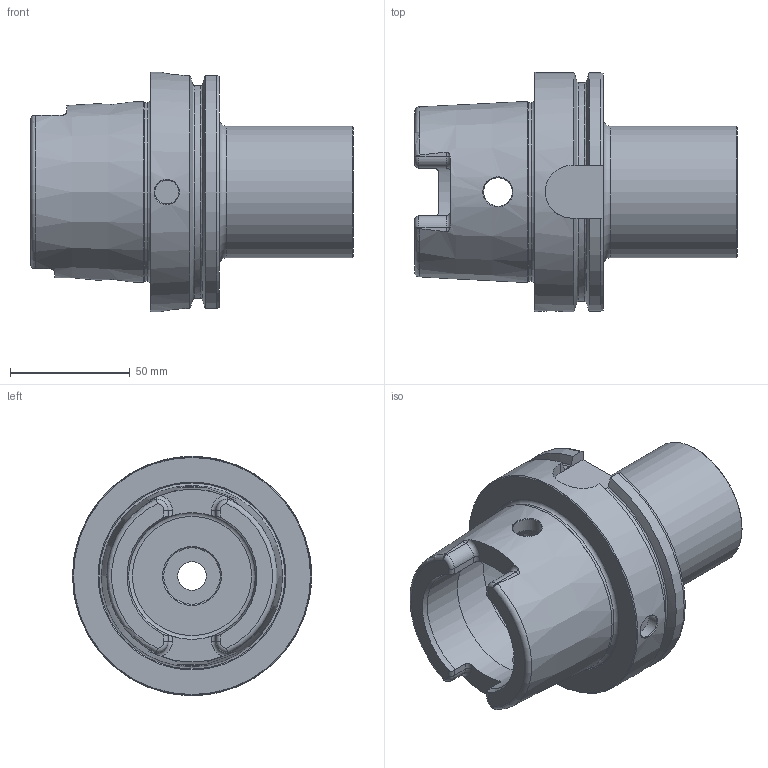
import cadquery as cq
import math

SHANK_FACE_X = -49.9
GAUGE_X = -10.0
GAUGE_RADIUS = 37.5
TAPER_RATIO = 9.98
NOSE_FILLET = 2.0
TAPER_END_X = -2.7
RELIEF_RADIUS = 37.4
RELIEF_FILLET = 1.5
RELIEF_DEPTH = 0.4

FLANGE_RADIUS = 50.0
FLANGE_WIDTH = 29.0
FLANGE_FRONT_CHAMFER = 0.4
FLANGE_BACK_CHAMFER = 1.2
FLANGE_BACK_CHAMFER_DEPTH = 0.5
GROOVE_CENTER_X = 19.9
GROOVE_TOP_WIDTH = 6.4
GROOVE_FLOOR_RADIUS = 45.8
GROOVE_HALF_ANGLE = math.radians(18)
GROOVE_FILLET = 0.7

NOSE_RADIUS = 27.5
NOSE_END_X = 85.0
NOSE_ROOT_FILLET = 3.0
NOSE_CHAMFER = 0.5

BORE_RADIUS = 26.5
BORE_CHAMFER = 0.7
BORE_CHAMFER_LENGTH = 2.2
BORE_LIP_DEPTH = 20.1
CLAMP_RADIUS = 31.5
CLAMP_END_DEPTH = 40.2
POCKET_RADIUS = 26.9
POCKET_START_DEPTH = 55.0
POCKET_FLOOR_DEPTH = 60.0
POCKET_FILLET = 2.0
COUNTERBORE_RADIUS = 11.8
COUNTERBORE_DEPTH = 5.0
COUNTERBORE_CHAMFER = 0.5
THROUGH_RADIUS = 6.0

DRIVE_HALF_WIDTH = 10.0
DRIVE_FLAT_HEIGHT = 32.1
DRIVE_CORNER_RADIUS = 4.7
DRIVE_FLOOR_FILLET = 1.75
DRIVE_MOUTH_FILLET = 1.75
TOP_DRIVE_LENGTH = 15.0
BOTTOM_DRIVE_LENGTH = 10.0

CROSS_HOLE_X = -15.1
CROSS_HOLE_RADIUS = 6.0

KEYWAY_HALF_WIDTH = 11.0
KEYWAY_START_X = 4.7
KEYWAY_FLOOR_Z = 44.0
SIDE_HOLE_X = 7.0
SIDE_HOLE_RADIUS = 5.0
SIDE_HOLE_DEPTH = 5.0

HOLE_CHAMFER = 0.3
MOUTH_REACH = 2.0

CUT_CLEARANCE = 1.0


def taper_radius(x):
    """Radius of the shank cone at x."""
    return GAUGE_RADIUS + (x - GAUGE_X) / (2 * TAPER_RATIO)


def revolve_about_x(profile):
    """Closes a profile in the XY plane and turns it about the X axis."""
    return profile.close().revolve(360, (0, 0, 0), (1, 0, 0))


def outer_body():
    """Solid of revolution: shank cone, relief groove, flange and cylindrical nose."""
    shoulder_x = SHANK_FACE_X + NOSE_FILLET
    profile = (
        cq.Workplane("XY")
        .moveTo(SHANK_FACE_X, 0)
        .lineTo(SHANK_FACE_X, taper_radius(shoulder_x) - NOSE_FILLET)
        .radiusArc((shoulder_x, taper_radius(shoulder_x)), NOSE_FILLET)
        .lineTo(TAPER_END_X, taper_radius(TAPER_END_X))
        .lineTo(TAPER_END_X + RELIEF_DEPTH, RELIEF_RADIUS)
        .lineTo(RELIEF_DEPTH - RELIEF_FILLET, RELIEF_RADIUS)
        .radiusArc((RELIEF_DEPTH, RELIEF_RADIUS + RELIEF_FILLET), -RELIEF_FILLET)
        .lineTo(0, RELIEF_RADIUS + RELIEF_FILLET + RELIEF_DEPTH)
        .lineTo(0, FLANGE_RADIUS - FLANGE_FRONT_CHAMFER)
        .lineTo(FLANGE_FRONT_CHAMFER, FLANGE_RADIUS)
        .lineTo(FLANGE_WIDTH - FLANGE_BACK_CHAMFER, FLANGE_RADIUS)
        .lineTo(FLANGE_WIDTH, FLANGE_RADIUS - FLANGE_BACK_CHAMFER_DEPTH)
        .lineTo(FLANGE_WIDTH, NOSE_RADIUS + NOSE_ROOT_FILLET)
        .radiusArc((FLANGE_WIDTH + NOSE_ROOT_FILLET, NOSE_RADIUS), -NOSE_ROOT_FILLET)
        .lineTo(NOSE_END_X - NOSE_CHAMFER, NOSE_RADIUS)
        .lineTo(NOSE_END_X, NOSE_RADIUS - NOSE_CHAMFER)
        .lineTo(NOSE_END_X, 0)
    )
    return revolve_about_x(profile)


def gripper_groove():
    """V-shaped ring cut around the flange, rounded at its floor."""
    depth = FLANGE_RADIUS - GROOVE_FLOOR_RADIUS
    half_top = GROOVE_TOP_WIDTH / 2
    half_floor = half_top - depth * math.tan(GROOVE_HALF_ANGLE)
    profile = (
        cq.Workplane("XY")
        .moveTo(GROOVE_CENTER_X - half_top, FLANGE_RADIUS)
        .lineTo(GROOVE_CENTER_X - half_floor, GROOVE_FLOOR_RADIUS)
        .lineTo(GROOVE_CENTER_X + half_floor, GROOVE_FLOOR_RADIUS)
        .lineTo(GROOVE_CENTER_X + half_top, FLANGE_RADIUS)
        .lineTo(GROOVE_CENTER_X + half_top, FLANGE_RADIUS + CUT_CLEARANCE)
        .lineTo(GROOVE_CENTER_X - half_top, FLANGE_RADIUS + CUT_CLEARANCE)
    )
    ring = revolve_about_x(profile)
    smallest_circles = cq.selectors.RadiusNthSelector(0)
    return ring.edges("%CIRCLE").edges(smallest_circles).fillet(GROOVE_FILLET)


def inner_bore():
    """Stepped bore with an internal clamping recess, a floor pocket and a coolant bore."""
    lip_x = SHANK_FACE_X + BORE_LIP_DEPTH
    floor_x = SHANK_FACE_X + POCKET_FLOOR_DEPTH
    counterbore_x = floor_x + COUNTERBORE_DEPTH
    profile = (
        cq.Workplane("XY")
        .moveTo(SHANK_FACE_X, 0)
        .lineTo(SHANK_FACE_X, BORE_RADIUS + BORE_CHAMFER)
        .lineTo(SHANK_FACE_X + BORE_CHAMFER_LENGTH, BORE_RADIUS)
        .lineTo(lip_x, BORE_RADIUS)
        .lineTo(lip_x, CLAMP_RADIUS)
        .lineTo(SHANK_FACE_X + CLAMP_END_DEPTH, CLAMP_RADIUS)
        .lineTo(SHANK_FACE_X + POCKET_START_DEPTH, POCKET_RADIUS)
        .lineTo(floor_x - POCKET_FILLET, POCKET_RADIUS)
        .radiusArc((floor_x, POCKET_RADIUS - POCKET_FILLET), POCKET_FILLET)
        .lineTo(floor_x, COUNTERBORE_RADIUS + COUNTERBORE_CHAMFER)
        .lineTo(floor_x + COUNTERBORE_CHAMFER, COUNTERBORE_RADIUS)
        .lineTo(counterbore_x, COUNTERBORE_RADIUS)
        .lineTo(counterbore_x, THROUGH_RADIUS)
        .lineTo(NOSE_END_X, THROUGH_RADIUS)
        .lineTo(NOSE_END_X, 0)
    )
    return revolve_about_x(profile)


def drive_slot(length):
    """Cutter for the upper slot: a rounded floor inside and a flared mouth at the shank face."""
    corner_z = DRIVE_FLAT_HEIGHT - DRIVE_CORNER_RADIUS
    corner_y = DRIVE_HALF_WIDTH + DRIVE_CORNER_RADIUS
    reach = FLANGE_RADIUS
    slot = (
        cq.Workplane("YZ", origin=(SHANK_FACE_X, 0, 0))
        .moveTo(-DRIVE_HALF_WIDTH, 0)
        .lineTo(-DRIVE_HALF_WIDTH, corner_z)
        .radiusArc((-corner_y, DRIVE_FLAT_HEIGHT), -DRIVE_CORNER_RADIUS)
        .lineTo(-reach, DRIVE_FLAT_HEIGHT)
        .lineTo(-reach, reach)
        .lineTo(reach, reach)
        .lineTo(reach, DRIVE_FLAT_HEIGHT)
        .lineTo(corner_y, DRIVE_FLAT_HEIGHT)
        .radiusArc((DRIVE_HALF_WIDTH, corner_z), -DRIVE_CORNER_RADIUS)
        .lineTo(DRIVE_HALF_WIDTH, 0)
        .close()
        .extrude(length)
    )
    slab = cq.Workplane("YZ", origin=(SHANK_FACE_X, 0, 0)).rect(2 * reach, 2 * reach).extrude(-length)

    def profile_edges(x):
        """Selects the slot outline in the plane at x, without the cutter's outer border."""
        inner = reach - CUT_CLEARANCE
        return cq.selectors.BoxSelector(
            (x - CUT_CLEARANCE, -inner, CUT_CLEARANCE), (x + CUT_CLEARANCE, inner, inner)
        )

    cutter = slot.union(slab)
    cutter = cutter.edges(profile_edges(SHANK_FACE_X)).fillet(DRIVE_MOUTH_FILLET)
    return cutter.edges(profile_edges(SHANK_FACE_X + length)).fillet(DRIVE_FLOOR_FILLET)


def cross_hole():
    """Vertical hole through both shank walls."""
    return (
        cq.Workplane("XY", origin=(CROSS_HOLE_X, 0, -FLANGE_RADIUS))
        .circle(CROSS_HOLE_RADIUS)
        .extrude(2 * FLANGE_RADIUS)
    )


def keyway():
    """Flat-floored keyway with a round end, open at the back of the flange."""
    arc_x = KEYWAY_START_X + KEYWAY_HALF_WIDTH
    return (
        cq.Workplane("XY", origin=(0, 0, KEYWAY_FLOOR_Z))
        .moveTo(FLANGE_WIDTH, -KEYWAY_HALF_WIDTH)
        .lineTo(arc_x, -KEYWAY_HALF_WIDTH)
        .threePointArc((KEYWAY_START_X, 0), (arc_x, KEYWAY_HALF_WIDTH))
        .lineTo(FLANGE_WIDTH, KEYWAY_HALF_WIDTH)
        .close()
        .extrude(FLANGE_RADIUS)
    )


def side_hole():
    """Blind round hole in the -Y side of the flange."""
    return (
        cq.Workplane("XZ", origin=(SIDE_HOLE_X, -FLANGE_RADIUS, 0))
        .circle(SIDE_HOLE_RADIUS)
        .extrude(-SIDE_HOLE_DEPTH)
    )


def opposite(cutter):
    """The same cutter turned half a turn about the part axis."""
    return cutter.rotate((0, 0, 0), (1, 0, 0), 180)


def break_hole_mouth(body, x, y, z):
    """Chamfers the hole edge centred near the given point."""
    mouth = cq.selectors.BoxSelector(
        (x - MOUTH_REACH, y - MOUTH_REACH, z - MOUTH_REACH),
        (x + MOUTH_REACH, y + MOUTH_REACH, z + MOUTH_REACH),
    )
    return body.edges(mouth).chamfer(HOLE_CHAMFER)


result = outer_body().cut(gripper_groove()).cut(inner_bore())
result = result.cut(drive_slot(TOP_DRIVE_LENGTH))
result = result.cut(opposite(drive_slot(BOTTOM_DRIVE_LENGTH)))
result = result.cut(cross_hole())
result = result.cut(keyway()).cut(opposite(keyway()))
result = result.cut(side_hole())

wall_z = taper_radius(CROSS_HOLE_X)
result = break_hole_mouth(result, CROSS_HOLE_X, 0, wall_z)
result = break_hole_mouth(result, CROSS_HOLE_X, 0, -wall_z)
result = break_hole_mouth(result, SIDE_HOLE_X, -FLANGE_RADIUS, 0)